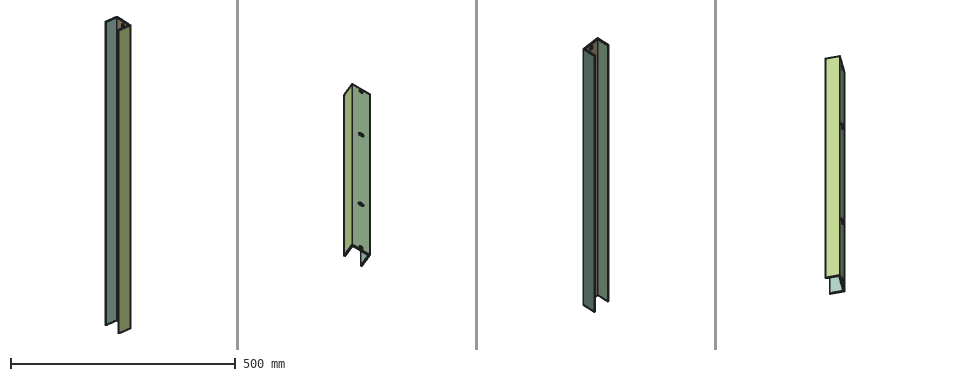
import cadquery as cq

LENGTH = 796.0
WIDTH = 48.0
DEPTH = 33.5
WALL = 3.0

END_HOLE_DIAMETER = 9.0
END_HOLE_INSET = 12.0
INNER_HOLE_DIAMETER = 13.0
INNER_HOLE_SPACING = 345.5


def channel():
    """U-shaped channel along Z, open toward -Y, with its web on the +Y side."""
    body = cq.Workplane("XY").box(WIDTH, DEPTH, LENGTH)
    cavity = cq.Workplane("XY").box(WIDTH - 2 * WALL, DEPTH, LENGTH).translate((0, -WALL, 0))
    return body.cut(cavity)


def drill_pair(body, diameter, spacing):
    """Drill two holes along Y, symmetric about mid-length on the web centreline."""
    half = spacing / 2
    drills = (
        cq.Workplane("XZ")
        .pushPoints([(0, -half), (0, half)])
        .circle(diameter / 2)
        .extrude(DEPTH, both=True)
    )
    return body.cut(drills)


result = channel()
result = drill_pair(result, END_HOLE_DIAMETER, LENGTH - 2 * END_HOLE_INSET)
result = drill_pair(result, INNER_HOLE_DIAMETER, INNER_HOLE_SPACING)